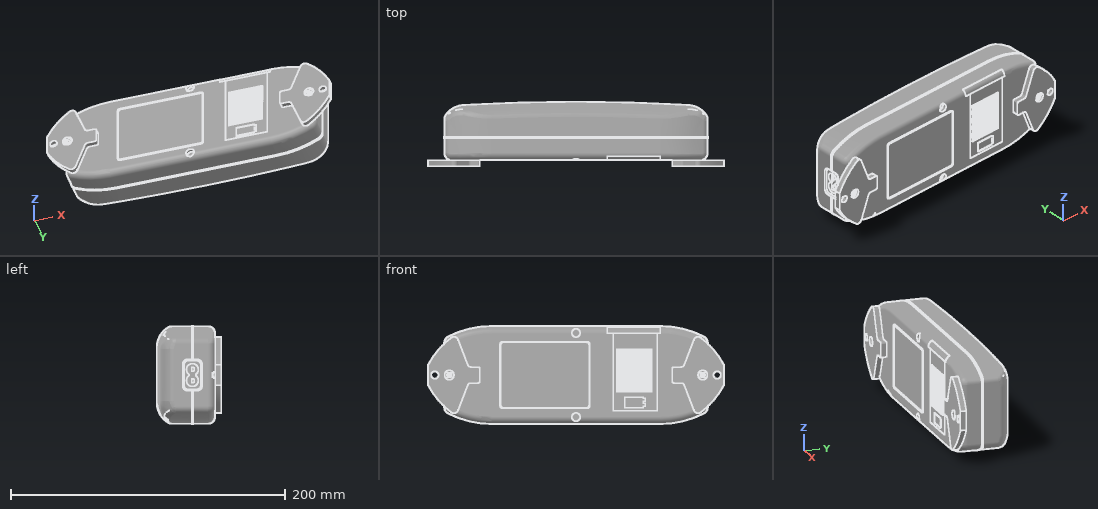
import cadquery as cq
import math


overall_length = 216.0
mount_plate_thickness = 4.5
housing_depth = 42.7
blank_depth = housing_depth + 2.2

half_length = 96.0
half_height = 35.6
straight_half_length = 61.5
side_curve_radius = 69.0
corner_radius = 5.6
front_fillet = 5.2

dome_radius = 1416.3
shoulder_radius = 17.3
end_overhang = 2.2
side_overhang = 1.7
crown_corner_radius = 18.4
shoulder_edge_min_y, shoulder_edge_max_y = 26.0, 36.7
shoulder_blend = 5.5

seam_start = 16.0
seam_width = 1.3
seam_height = 0.2

tip_x, tip_z = 87.5, 29.5
tip_round = 3.2
outer_flat_half = 7.3
outer_mid_x, outer_mid_z = 101.5, 17.3
tongue_x = 70.2
tongue_half = 5.8
tongue_round = 1.3
tongue_root_x = 78.4
tongue_root_round = 2.5
hang_hole_x = 103.0
hang_hole_radius = 2.5
screw_x = 92.5
screw_head_radius = 3.5
screw_head_depth = 2.2
screw_hole_radius = 1.7
screw_bore_radius = 2.4
screw_bore_depth = 2.2
screw_pilot_radius = 0.9
screw_pilot_depth = 6.5

label_left, label_right = -55.5, 10.1
label_half_height = 24.5
label_round = 2.2
groove_width = 0.6
groove_depth = 0.5

case_screw_z = 30.7
case_screw_radius = 3.0
case_screw_depth = 3.2

door_left, door_right = 27.2, 59.2
door_bottom = -26.0
door_tab_left, door_tab_right = 22.7, straight_half_length
door_tab_reach = 3.0
door_recess = 0.1

vent_left, vent_right = 29.5, 55.3
vent_top = 18.8
vent_pitch = 1.88
vent_height = 0.97
vent_count = 17
vent_depth = 1.7

mark_left, mark_right = 35.5, 49.0
mark_bottom, mark_top = -23.7, -16.2
mark_depth = 0.5
mark_lug_length = 1.5
mark_lug_height = 2.2
mark_lug_spacing = 3.7

socket_y = 16.6
socket_width = 14.2
socket_height = 22.9
socket_corner = 3.7
socket_bevel = 1.0
socket_depth = 1.0
inlet_radius = 4.3
inlet_spacing = 8.0
inlet_neck_width = 4.5
inlet_depth = 3.2
pin_radius = 1.5
pin_spacing = 8.5

front_plane = cq.Plane((0, 0, 0), (1, 0, 0), (0, -1, 0))


def box(x0, x1, y0, y1, z0, z1):
    return cq.Workplane("XY").box(x1 - x0, y1 - y0, z1 - z0, centered=False).translate((x0, y0, z0))


def cylinder_y(x, z, radius, y0, y1):
    solid = cq.Solid.makeCylinder(radius, y1 - y0, cq.Vector(x, y0, z), cq.Vector(0, 1, 0))
    return cq.Workplane(solid)


def housing_outline(offset, y0, y1):
    """Housing outline grown by offset, extruded from y0 to y1, with rounded corners."""
    end_x = half_length + offset
    top_z = half_height + offset
    radius = side_curve_radius + offset
    run = end_x - straight_half_length

    def curve_z(dx):
        return top_z - radius + math.sqrt(radius**2 - dx**2)

    end_z = curve_z(run)
    mid_x = straight_half_length + run / 2
    mid_z = curve_z(run / 2)
    return (
        cq.Workplane(front_plane)
        .moveTo(-straight_half_length, top_z)
        .lineTo(straight_half_length, top_z)
        .threePointArc((mid_x, mid_z), (end_x, end_z))
        .lineTo(end_x, -end_z)
        .threePointArc((mid_x, -mid_z), (straight_half_length, -top_z))
        .lineTo(-straight_half_length, -top_z)
        .threePointArc((-mid_x, -mid_z), (-end_x, -end_z))
        .lineTo(-end_x, end_z)
        .threePointArc((-mid_x, mid_z), (-straight_half_length, top_z))
        .close()
        .extrude(y0 - y1)
        .translate((0, y0, 0))
        .edges("|Y and (>X or <X)")
        .fillet(corner_radius)
    )


def make_crown():
    """Oversized rectangular block whose back is domed and carries the large shoulder round."""
    end_x = half_length + end_overhang
    side_z = half_height + side_overhang
    block = box(-end_x, end_x, 0, blank_depth, -side_z, side_z)
    block = block.edges("|Y").fillet(crown_corner_radius)
    dome = (
        cq.Workplane("XY")
        .center(0, housing_depth - dome_radius)
        .circle(dome_radius)
        .extrude(overall_length, both=True)
    )
    return block.intersect(dome).faces(">Y").edges().fillet(shoulder_radius)


def make_housing():
    walls = housing_outline(0, 0, blank_depth)
    walls = walls.faces("<Y").edges().fillet(front_fillet)
    housing = walls.intersect(make_crown())
    shoulder_band = cq.selectors.BoxSelector(
        (-overall_length, shoulder_edge_min_y, -overall_length),
        (overall_length, shoulder_edge_max_y, overall_length),
        boundingbox=True,
    )
    housing = housing.edges(shoulder_band).fillet(shoulder_blend)
    seam = housing_outline(seam_height, seam_start, seam_start + seam_width)
    return housing.union(seam)


def make_mount_plate():
    """Plate at the +X end: a rounded outer edge, two tips and a tongue pointing inward."""
    outer_x = overall_length / 2
    plate = (
        cq.Workplane(front_plane)
        .moveTo(outer_x, -outer_flat_half)
        .lineTo(outer_x, outer_flat_half)
        .threePointArc((outer_mid_x, outer_mid_z), (tip_x, tip_z))
        .lineTo(tongue_root_x, tongue_half)
        .lineTo(tongue_x, tongue_half)
        .lineTo(tongue_x, -tongue_half)
        .lineTo(tongue_root_x, -tongue_half)
        .lineTo(tip_x, -tip_z)
        .threePointArc((outer_mid_x, -outer_mid_z), (outer_x, -outer_flat_half))
        .close()
        .extrude(mount_plate_thickness)
    )

    def round_corner(body, x, z, radius):
        reach = 0.2
        corner = cq.selectors.BoxSelector(
            (x - reach, -outer_x, z - reach),
            (x + reach, outer_x, z + reach),
        )
        return body.edges("|Y").edges(corner).fillet(radius)

    for side in (1, -1):
        plate = round_corner(plate, tip_x, side * tip_z, tip_round)
        plate = round_corner(plate, tongue_root_x, side * tongue_half, tongue_root_round)
        plate = round_corner(plate, tongue_x, side * tongue_half, tongue_round)
    return plate


def cut_plate_holes(part, side):
    """Hanging hole and counterbored screw hole of one plate; the screw goes on into the housing."""
    plate_front = -mount_plate_thickness
    x = side * screw_x
    part = part.cut(cylinder_y(side * hang_hole_x, 0, hang_hole_radius, plate_front, 0))
    part = part.cut(cylinder_y(x, 0, screw_head_radius, plate_front, plate_front + screw_head_depth))
    part = part.cut(cylinder_y(x, 0, screw_hole_radius, plate_front, 0))
    part = part.cut(cylinder_y(x, 0, screw_bore_radius, 0, screw_bore_depth))
    return part.cut(cylinder_y(x, 0, screw_pilot_radius, 0, screw_pilot_depth))


def make_label_groove():
    """Rectangular ring that frames the label area."""
    width = label_right - label_left
    height = 2 * label_half_height

    def rounded(inset):
        return (
            cq.Workplane(front_plane)
            .center((label_left + label_right) / 2, 0)
            .rect(width - 2 * inset, height - 2 * inset)
            .extrude(-groove_depth)
            .edges("|Y")
            .fillet(label_round - inset)
        )

    return rounded(0).cut(rounded(groove_width))


def make_door_recess(housing):
    """Thin skin of the front face and top front fillet where the door lies slightly below the surface."""
    fillet_start = half_height - front_fillet
    panel = box(door_left, door_right, 0, door_recess, door_bottom, fillet_start)
    tab = box(door_tab_left, door_tab_right, 0, door_tab_reach, fillet_start, half_height)
    return panel.union(tab.cut(housing.translate((0, door_recess, -door_recess))))


def make_vents():
    slots = cq.Workplane("XY")
    for i in range(vent_count):
        top = vent_top - i * vent_pitch
        slots = slots.add(box(vent_left, vent_right, 0, vent_depth, top - vent_height, top))
    return slots.combine()


def make_battery_mark():
    """Shallow battery-shaped pocket: a rectangle with two terminal lugs."""
    back = door_recess + mark_depth
    mark = box(mark_left, mark_right, 0, back, mark_bottom, mark_top)
    middle_z = (mark_bottom + mark_top) / 2
    for side in (1, -1):
        z = middle_z + side * mark_lug_spacing / 2
        lug = box(
            mark_right, mark_right + mark_lug_length, 0, back, z - mark_lug_height / 2, z + mark_lug_height / 2
        )
        mark = mark.union(lug)
    return mark


def cut_socket(part):
    """Bevelled recess in the -X end, a figure-eight inlet in its floor and two flatted contact pins."""
    outer_x = -half_length - seam_height
    floor_x = -half_length + socket_depth
    end_plane = cq.Plane((outer_x, socket_y, 0), (0, 1, 0), (1, 0, 0))
    floor_plane = cq.Plane((floor_x, socket_y, 0), (0, 1, 0), (1, 0, 0))

    depth = floor_x - outer_x
    recess = (
        cq.Workplane(end_plane)
        .rect(socket_width, socket_height)
        .extrude(depth)
        .edges("|X")
        .fillet(socket_corner)
        .faces(">X")
        .edges()
        .chamfer(depth - seam_height, socket_bevel)
    )
    inlet = (
        cq.Workplane(floor_plane)
        .pushPoints([(0, inlet_spacing / 2), (0, -inlet_spacing / 2)])
        .circle(inlet_radius)
        .extrude(inlet_depth)
        .union(cq.Workplane(floor_plane).rect(inlet_neck_width, inlet_spacing).extrude(inlet_depth))
    )
    pins = (
        cq.Workplane(floor_plane)
        .pushPoints([(0, pin_spacing / 2), (0, -pin_spacing / 2)])
        .circle(pin_radius)
        .extrude(inlet_depth)
        .intersect(box(floor_x, floor_x + inlet_depth, 0, seam_start + seam_width, -pin_spacing, pin_spacing))
    )
    return part.cut(recess).cut(inlet.cut(pins))


housing = make_housing()
result = housing.cut(make_door_recess(housing))
result = result.cut(make_vents()).cut(make_battery_mark()).cut(make_label_groove())
for side in (1, -1):
    result = result.cut(cylinder_y(0, side * case_screw_z, case_screw_radius, 0, case_screw_depth))
result = cut_socket(result)

plate = make_mount_plate()
result = result.union(plate).union(plate.mirror("YZ"))
for side in (1, -1):
    result = cut_plate_holes(result, side)